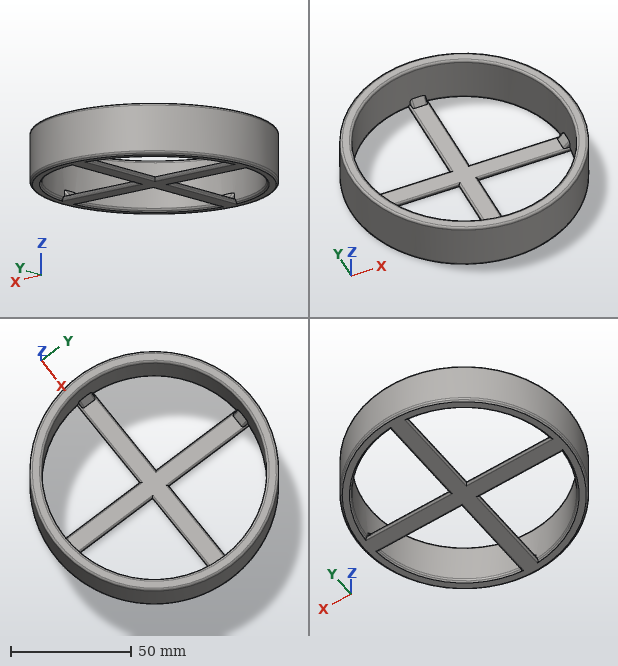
import cadquery as cq

outer_diameter = 103.5
inner_diameter = 93.5
ring_height = 22.0
rim_round = 1.0
foot_chamfer = 1.0
foot_round = 1.2

bar_width = 8.5
bar_thickness = 2.0
bar_round = 0.7

brace_width = bar_width - 2 * bar_round
brace_size = 2.9
brace_round = 0.8

outer_radius = outer_diameter / 2
inner_radius = inner_diameter / 2
bar_reach = (inner_radius + outer_radius) / 2


def make_ring():
    """Ring with rounded top rim and softened chamfers inside and outside the foot."""
    ring = cq.Workplane("XY").circle(outer_radius).circle(inner_radius).extrude(ring_height)
    ring = ring.faces(">Z").edges().fillet(rim_round)
    ring = ring.faces("<Z").edges().chamfer(foot_chamfer)
    foot_band = cq.selectors.BoxSelector(
        (-outer_diameter, -outer_diameter, foot_chamfer / 2),
        (outer_diameter, outer_diameter, ring_height / 2),
        boundingbox=True,
    )
    return ring.edges("%CIRCLE").edges(foot_band).fillet(foot_round)


def make_cross():
    """Two crossing bars with rounded long edges."""
    bar_x = cq.Workplane("XY").box(
        2 * bar_reach, bar_width, bar_thickness, centered=(True, True, False)
    )
    bar_x = bar_x.edges("|X").fillet(bar_round)
    bar_y = bar_x.rotate((0, 0, 0), (0, 0, 1), 90)
    return bar_x.union(bar_y)


def make_brace():
    """Brace at the +X end: a 45 degree slope with rounded long edges."""
    toe = inner_radius - brace_size
    heel = bar_reach
    brace = (
        cq.Workplane("XZ")
        .moveTo(toe, bar_thickness)
        .lineTo(inner_radius, bar_thickness + brace_size)
        .lineTo(heel, bar_thickness + brace_size)
        .lineTo(heel, bar_thickness / 2)
        .lineTo(toe, bar_thickness / 2)
        .close()
        .extrude(brace_width / 2, both=True)
    )
    slope_center = (inner_radius - brace_size / 2, 0, bar_thickness + brace_size / 2)
    slope = brace.faces(cq.selectors.NearestToPointSelector(slope_center))
    return slope.edges("not |Y").fillet(brace_round)


result = make_ring().union(make_cross())
brace = make_brace()
for quarter_turn in range(4):
    result = result.union(brace.rotate((0, 0, 0), (0, 0, 1), 90 * quarter_turn))